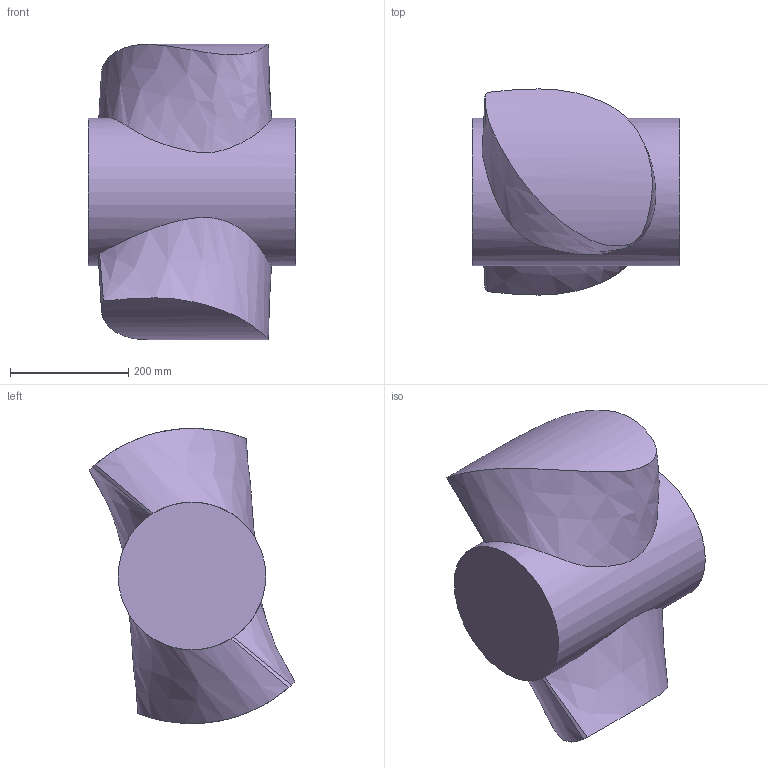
import math

import cadquery as cq

hub_length = 351.3
hub_radius = 125.05

tip_radius = 250.0
blade_count = 2

skin_bottom = -0.1
skin_top = 1.01
core_radius = hub_radius - 4.0

root_outline = [
    (-156.5, 70), (-107, 97), (-54, 111), (4, 117), (62, 114), (107, 92), (128, 47), (135, -10),
    (120, -64), (80, -95), (25, -106), (-33, -99), (-84, -80), (-121, -41), (-145, 11), (-159, 66),
]
tip_outline = [
    (-150, 168.5), (-87, 173.8), (-26, 172), (31, 158), (81, 130), (114, 84), (129, 27), (124, -33),
    (99, -84), (42, -88), (-9, -62), (-53, -26), (-91, 18), (-122, 66), (-146, 115), (-154, 164),
]
flat_side_bow = 7.5
bow_start = 5
bow_end = 14


def on_cylinder(point, radius):
    """Lift an (x, y) point onto the upper half of a cylinder about X."""
    x, y = point
    return cq.Vector(x, y, math.sqrt(radius**2 - y**2))


def bow_at(index):
    """Bow of the line up the blade at an outline point: none near the leading edge."""
    if not bow_start < index < bow_end:
        return 0
    share = (index - bow_start) / (bow_end - bow_start)
    return flat_side_bow * math.sin(math.pi * share)


def blade_point(index, height):
    """Point on the bowed line from a root point (height 0) to its tip point (height 1)."""
    start = on_cylinder(root_outline[index], hub_radius)
    end = on_cylinder(tip_outline[index], tip_radius)
    bow = 4 * bow_at(index) * height * (1 - height)
    return start + (end - start) * height - cq.Vector(0, bow, 0)


def blade_section(height):
    """Closed section at one height: the smooth outline and the narrow leading edge."""
    points = [blade_point(index, height) for index in range(len(root_outline))]
    outline = cq.Edge.makeSpline(points, parameters=range(len(points)))
    leading_edge = cq.Edge.makeLine(points[-1], points[0])
    return cq.Wire.assembleEdges([outline, leading_edge])


def cylinder_along_x(radius, length):
    return cq.Workplane("YZ").circle(radius).extrude(length / 2, both=True)


def make_blade():
    """Part of the ring between core and tip radius that lies inside the open blade skin."""
    middle_height = (skin_bottom + skin_top) / 2
    sections = [blade_section(height) for height in (skin_bottom, middle_height, skin_top)]
    skin = cq.occ_impl.shapes.loft(*sections)
    ring = cylinder_along_x(tip_radius, hub_length).cut(cylinder_along_x(core_radius, hub_length))
    pieces = ring.val().split(skin).Solids()
    return cq.Workplane(min(pieces, key=lambda piece: piece.Volume()))


blade = make_blade()
result = cylinder_along_x(hub_radius, hub_length)
for index in range(blade_count):
    turn = index * 360 / blade_count
    result = result.union(blade.rotate((0, 0, 0), (1, 0, 0), turn))